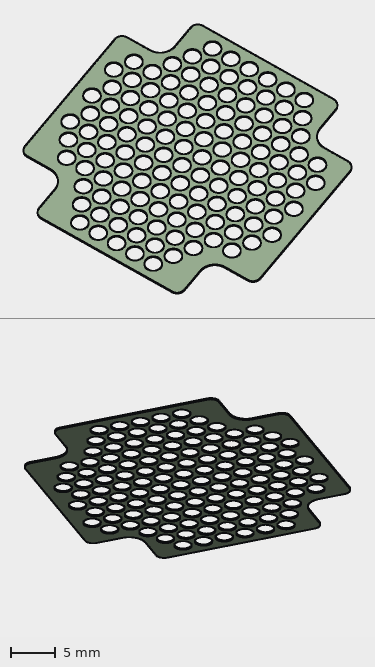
import cadquery as cq
import math

plate_size = 32.0
thickness = 0.2
arm_width = 19.78
outer_corner_radius = 1.0
notch_radius = 2.0

hole_diameter = 2.0
hole_pitch = 2.5
row_pitch = hole_pitch * math.sqrt(3) / 2
holes_per_row = [6, 7, 8, 11, 12, 11, 12, 11, 12, 11, 10, 7, 6, 5]


def rounded_bar(length_x, length_y):
    """Flat bar centered on the Z axis, with its four corners rounded."""
    bar = cq.Workplane("XY").rect(length_x, length_y).extrude(thickness)
    return bar.edges("|Z").fillet(outer_corner_radius)


def cross_plate():
    """Two crossed bars, with the inner corners of the notches rounded."""
    cross = rounded_bar(plate_size, arm_width).union(rounded_bar(arm_width, plate_size))

    box_half_width = (arm_width + outer_corner_radius) / 2
    central_box = cq.selectors.BoxSelector(
        (-box_half_width, -box_half_width, 0),
        (box_half_width, box_half_width, thickness),
    )
    return cross.edges("|Z").edges(central_box).fillet(notch_radius)


def hole_centers():
    """Centers of all holes, each row centered on the Y axis."""
    centers = []
    first_row_y = row_pitch * (len(holes_per_row) - 1) / 2
    for row, hole_count in enumerate(holes_per_row):
        y = first_row_y - row * row_pitch
        first_x = -hole_pitch * (hole_count - 1) / 2
        for column in range(hole_count):
            centers.append((first_x + column * hole_pitch, y))
    return centers


hole_cylinders = (
    cq.Workplane("XY")
    .pushPoints(hole_centers())
    .circle(hole_diameter / 2)
    .extrude(thickness)
)
result = cross_plate().cut(hole_cylinders)